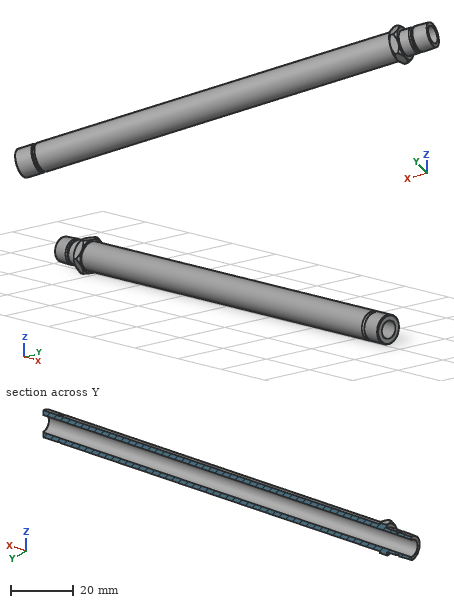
import cadquery as cq
import math

total_length = 150.0
hex_across_flats = 11.0
bore_diameter = 6.0

spigot_diameter = 8.7
spigot_length = 10.0
lead_in_diameter = 8.4
lead_in_length = 3.7
groove_start = 5.0
groove_floor_start = 5.5
groove_floor_end = 5.9
groove_end = 6.4
groove_depth = 0.4

hex_width = 3.0
hex_chamfer_width = 1.0

tube_diameter = 9.8
end_chamfer = 0.3
ring_start = 7.3
ring_root = 6.5
ring_end = 6.1
ring_depth = 0.35

x_start = -total_length / 2
x_end = total_length / 2
hex_start = x_start + spigot_length
hex_end = hex_start + hex_width
hex_across_corners = hex_across_flats / math.cos(math.pi / 6)


def cylinder(start, end, diameter):
    """Solid cylinder along X between two X positions."""
    return cq.Workplane("YZ", origin=(start, 0, 0)).circle(diameter / 2).extrude(end - start)


def turned(profile):
    """Solid swept around X by a closed profile of (x, radius) points."""
    return cq.Workplane("XY").polyline(profile).close().revolve(360, (0, 0, 0), (1, 0, 0))


def make_spigot():
    """Spigot with a slightly tapered lead-in and a groove with sloping walls."""
    radius = spigot_diameter / 2
    floor_radius = radius - groove_depth
    return turned([
        (x_start, 0),
        (x_start, lead_in_diameter / 2),
        (x_start + lead_in_length, radius),
        (x_start + groove_start, radius),
        (x_start + groove_floor_start, floor_radius),
        (x_start + groove_floor_end, floor_radius),
        (x_start + groove_end, radius),
        (hex_start, radius),
        (hex_start, 0),
    ])


def make_hex_collar():
    """Hexagon with corners on Y, its corners turned down conically on both sides."""
    collar = (
        cq.Workplane("YZ", origin=(hex_start, 0, 0))
        .polygon(6, hex_across_corners)
        .extrude(hex_width)
    )
    corner_height = (hex_across_corners - hex_across_flats) / 2
    turned_blank = (
        cylinder(hex_start, hex_end, hex_across_corners)
        .edges()
        .chamfer(hex_chamfer_width, corner_height)
    )
    return collar.intersect(turned_blank)


def make_tube():
    """Plain tube with a shallow V-shaped ring groove and a chamfered +X end."""
    radius = tube_diameter / 2
    root_radius = radius - ring_depth
    return turned([
        (hex_end, 0),
        (hex_end, radius),
        (x_end - ring_start, radius),
        (x_end - ring_root, root_radius),
        (x_end - ring_end, radius),
        (x_end - end_chamfer, radius),
        (x_end, radius - end_chamfer),
        (x_end, 0),
    ])


body = make_spigot().union(make_hex_collar()).union(make_tube())
result = body.cut(cylinder(x_start, x_end, bore_diameter))